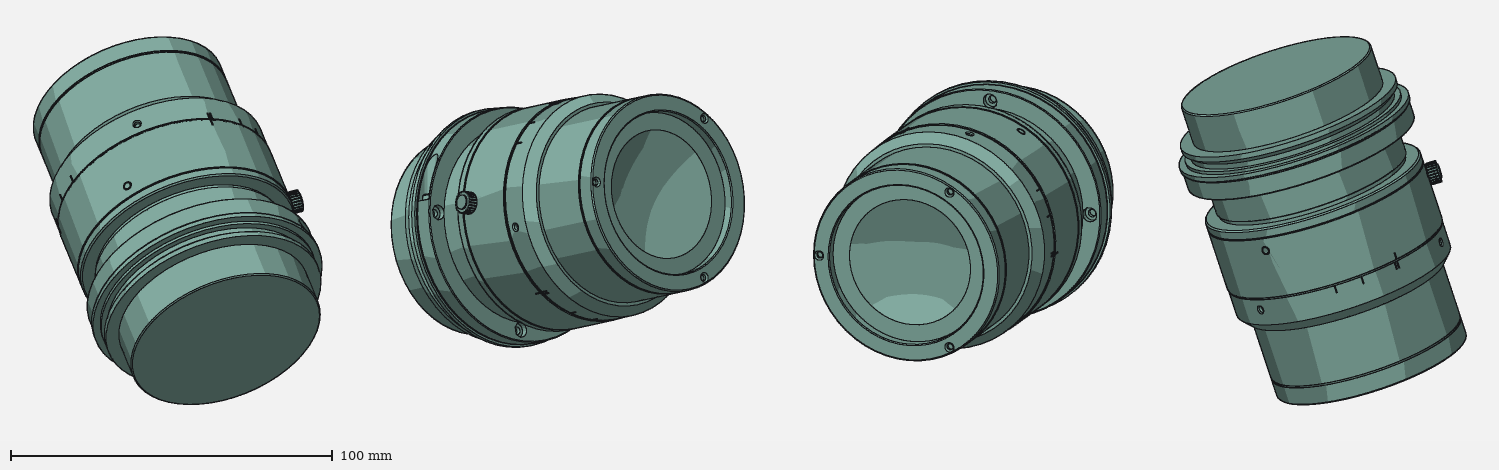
import cadquery as cq
import math

OVERALL_LENGTH = 98.25
OVERALL_WIDTH = 76.7
BARREL_RADIUS = 62.0 / 2
BARREL_CHAMFER = 0.4

FRONT_GROOVE_START = 5.9
FRONT_GROOVE_WIDTH = 0.6
GROOVE_DEPTH = 0.2

IRIS_START = 25.7
IRIS_NOSE_RADIUS = 32.0
IRIS_RADIUS = 70.0 / 2
IRIS_CONE_LENGTH = 3.2
IRIS_END = 37.4
RING_GAP_WIDTH = 0.6

GRIP_RADIUS = 35.2
GRIP_START = IRIS_END + RING_GAP_WIDTH
GRIP_END = 60.8
GRIP_CHAMFER = 0.5
GRIP_GROOVE_START = 57.5
GRIP_GROOVE_WIDTH = 0.4

NECK_RADIUS = 30.5
REAR_BARREL_START = 62.2

FLANGE_START = 72.0
FLANGE_END = 77.9
FLANGE_RADIUS = 36.9
FLANGE_CHAMFER = 0.3
DISC_RADIUS = 75.0 / 2
DISC_START = 78.5
DISC_END = 80.0
FLANGE_GROOVE_RADIUS = FLANGE_RADIUS - GROOVE_DEPTH
SHOULDER_RADIUS = 35.2
SHOULDER_END = 81.0
SEAT_RADIUS = 33.2
SEAT_CONE_START = 82.6
SEAT_CONE_END = 84.2
SEAT_END = 85.9

RECESS_RADIUS = 51.3 / 2
RECESS_MOUTH_RADIUS = 52.0 / 2
RECESS_DEPTH = 3.4
GLASS_RADIUS = 40.4 / 2
GLASS_SAG = 3.8

FACE_HOLE_CIRCLE_RADIUS = 29.0
SCREW_HOLE_DIAMETER = 2.0
FACE_HOLE_MOUTH_DIAMETER = 3.0
FACE_HOLE_DEPTH = 1.5

IRIS_HOLE_X = 34.1
IRIS_HOLE_MOUTH_DIAMETER = 2.8
IRIS_HOLE_ANGLE = 103.3
IRIS_HOLE_DEPTH = 1.5

TICK_START = 35.1
TICK_WIDTH = 0.3
TICK_DEPTH = 0.2
TICK_ANGLES = (149.6, 164.1, 183.7, 185.2)
INDEX_ANGLE = TICK_ANGLES[-1]
INDEX_LENGTH = 2.2

LOCK_X = 53.5
LOCK_HOLE_DIAMETER = 2.8
LOCK_SCREW_DIAMETER = 2.1
LOCK_HOLE_DEPTH = 1.5
KNOB_BOTTOM = 35.6
KNOB_TOP = 38.8
KNOB_DIAMETER = 7.0
KNOB_CHAMFER = 0.3
KNOB_CAP_DIAMETER = 4.5
KNOB_CAP_TOP = OVERALL_WIDTH - DISC_RADIUS
KNOB_GROOVE_BOTTOM = 37.5
KNOB_GROOVE_WIDTH = 0.3
KNOB_GROOVE_DEPTH = 0.15
FLUTE_COUNT = 24
FLUTE_DIAMETER = 0.6

FLANGE_BORE_DIAMETER = 4.5
FLANGE_BORE_CIRCLE_RADIUS = BARREL_RADIUS + FLANGE_BORE_DIAMETER / 2
FLANGE_BORE_DEPTH = 2.0
FLANGE_SOCKET_DIAMETER = 2.5
FLANGE_HOLE_DEPTH = 3.4
FLANGE_HOLE_COUNT = 4
CLAMP_X = 75.1
CLAMP_Y = 34.2
CLAMP_POCKET_DIAMETER = 5.0
CLAMP_POCKET_FLOOR = 3.9
CLAMP_HEAD_DIAMETER = 4.5
CLAMP_HEAD_CHAMFER = 0.5
CLAMP_HEAD_TOP = 5.9
CLAMP_SOCKET_DIAMETER = 2.5
CLAMP_SOCKET_DEPTH = 1.5

THIRDS = (0, 120, 240)


def around_axis(shape, angle):
    """Turn a shape made at +Y to the given polar angle."""
    return shape.rotate((0, 0, 0), (1, 0, 0), angle)


def countersunk_cutter(diameter, mouth_diameter, depth):
    """Cutter along +X from the origin, with a 45 degree mouth."""
    sink = (mouth_diameter - diameter) / 2
    points = [
        (0, 0),
        (0, mouth_diameter / 2),
        (sink, diameter / 2),
        (depth, diameter / 2),
        (depth, 0),
    ]
    return cq.Workplane("XY").polyline(points).close().revolve(360, (0, 0, 0), (1, 0, 0))


def y_cylinder(x, bottom, top, diameter):
    """Radial cylinder standing on +Y."""
    return cq.Workplane("XZ", origin=(x, bottom, 0)).circle(diameter / 2).extrude(bottom - top)


def make_body():
    """Turned body with the glass and front recess in one profile."""
    groove_floor = BARREL_RADIUS - GROOVE_DEPTH
    front_groove_end = FRONT_GROOVE_START + FRONT_GROOVE_WIDTH
    grip_groove_end = GRIP_GROOVE_START + GRIP_GROOVE_WIDTH
    recess_bevel = RECESS_MOUTH_RADIUS - RECESS_RADIUS
    glass_apex = RECESS_DEPTH + GLASS_SAG
    sphere_radius = (GLASS_RADIUS**2 + GLASS_SAG**2) / (2 * GLASS_SAG)
    mid_radius = GLASS_RADIUS / 2
    mid_x = glass_apex - sphere_radius + math.sqrt(sphere_radius**2 - mid_radius**2)
    profile = (
        cq.Workplane("XY")
        .moveTo(glass_apex, 0)
        .threePointArc((mid_x, mid_radius), (RECESS_DEPTH, GLASS_RADIUS))
        .lineTo(RECESS_DEPTH, RECESS_RADIUS)
        .lineTo(recess_bevel, RECESS_RADIUS)
        .lineTo(0, RECESS_MOUTH_RADIUS)
        .lineTo(0, BARREL_RADIUS - BARREL_CHAMFER)
        .lineTo(BARREL_CHAMFER, BARREL_RADIUS)
        .lineTo(FRONT_GROOVE_START, BARREL_RADIUS)
        .lineTo(FRONT_GROOVE_START, groove_floor)
        .lineTo(front_groove_end, groove_floor)
        .lineTo(front_groove_end, BARREL_RADIUS)
        .lineTo(IRIS_START, BARREL_RADIUS)
        .lineTo(IRIS_START, IRIS_NOSE_RADIUS)
        .lineTo(IRIS_START + IRIS_CONE_LENGTH, IRIS_RADIUS)
        .lineTo(IRIS_END, IRIS_RADIUS)
        .lineTo(IRIS_END, IRIS_RADIUS - GROOVE_DEPTH)
        .lineTo(GRIP_START, IRIS_RADIUS - GROOVE_DEPTH)
        .lineTo(GRIP_START, GRIP_RADIUS)
        .lineTo(GRIP_GROOVE_START, GRIP_RADIUS)
        .lineTo(GRIP_GROOVE_START, GRIP_RADIUS - GROOVE_DEPTH)
        .lineTo(grip_groove_end, GRIP_RADIUS - GROOVE_DEPTH)
        .lineTo(grip_groove_end, GRIP_RADIUS)
        .lineTo(GRIP_END - GRIP_CHAMFER, GRIP_RADIUS)
        .lineTo(GRIP_END, GRIP_RADIUS - GRIP_CHAMFER)
        .lineTo(GRIP_END, NECK_RADIUS)
        .lineTo(REAR_BARREL_START, NECK_RADIUS)
        .lineTo(REAR_BARREL_START, BARREL_RADIUS)
        .lineTo(FLANGE_START, BARREL_RADIUS)
        .lineTo(FLANGE_START, FLANGE_RADIUS - FLANGE_CHAMFER)
        .lineTo(FLANGE_START + FLANGE_CHAMFER, FLANGE_RADIUS)
        .lineTo(FLANGE_END, FLANGE_RADIUS)
        .lineTo(FLANGE_END, FLANGE_GROOVE_RADIUS)
        .lineTo(DISC_START, FLANGE_GROOVE_RADIUS)
        .lineTo(DISC_START, DISC_RADIUS)
        .lineTo(DISC_END, DISC_RADIUS)
        .lineTo(DISC_END, SHOULDER_RADIUS)
        .lineTo(SHOULDER_END, SHOULDER_RADIUS)
        .lineTo(SHOULDER_END, SEAT_RADIUS)
        .lineTo(SEAT_CONE_START, SEAT_RADIUS)
        .lineTo(SEAT_CONE_END, SHOULDER_RADIUS)
        .lineTo(SEAT_END, SHOULDER_RADIUS)
        .lineTo(SEAT_END, BARREL_RADIUS)
        .lineTo(OVERALL_LENGTH - BARREL_CHAMFER, BARREL_RADIUS)
        .lineTo(OVERALL_LENGTH, BARREL_RADIUS - BARREL_CHAMFER)
        .lineTo(OVERALL_LENGTH, 0)
        .close()
    )
    return profile.revolve(360, (0, 0, 0), (1, 0, 0))


def flange_hole_cutter(diameter, depth):
    """Ring of cylinders sunk into the front face of the flange."""
    return (
        cq.Workplane("YZ", origin=(FLANGE_START, 0, 0))
        .polarArray(FLANGE_BORE_CIRCLE_RADIUS, 0, 360, FLANGE_HOLE_COUNT)
        .circle(diameter / 2)
        .extrude(depth)
    )


def cut_face_holes(body):
    """Three countersunk holes in the front rim and four counterbored ones in the flange face."""
    cutter = countersunk_cutter(SCREW_HOLE_DIAMETER, FACE_HOLE_MOUTH_DIAMETER, FACE_HOLE_DEPTH)
    cutter = cutter.translate((0, FACE_HOLE_CIRCLE_RADIUS, 0))
    for angle in THIRDS:
        body = body.cut(around_axis(cutter, angle))
    bores = flange_hole_cutter(FLANGE_BORE_DIAMETER, FLANGE_BORE_DEPTH)
    sockets = flange_hole_cutter(FLANGE_SOCKET_DIAMETER, FLANGE_HOLE_DEPTH)
    return body.cut(bores).cut(sockets)


def cut_iris_holes(body):
    """Three radial countersunk set screw holes in the aperture ring."""
    cutter = countersunk_cutter(SCREW_HOLE_DIAMETER, IRIS_HOLE_MOUTH_DIAMETER, IRIS_HOLE_DEPTH)
    cutter = cutter.rotate((0, 0, 0), (0, 0, 1), -90).translate((IRIS_HOLE_X, IRIS_RADIUS, 0))
    for angle in THIRDS:
        body = body.cut(around_axis(cutter, IRIS_HOLE_ANGLE + angle))
    return body


def mark_cutter(start, length, radius):
    """Engraving cutter along X, at +Y on the given radius."""
    mark = cq.Workplane("XY").box(length, 2 * TICK_DEPTH, TICK_WIDTH)
    return mark.translate((start + length / 2, radius, 0))


def cut_marks(body):
    """Three sets of aperture ticks, each with its index line on the locking ring."""
    tick = mark_cutter(TICK_START, IRIS_END - TICK_START, IRIS_RADIUS)
    index = mark_cutter(GRIP_START, INDEX_LENGTH, GRIP_RADIUS)
    for turn in THIRDS:
        for angle in TICK_ANGLES:
            body = body.cut(around_axis(tick, angle + turn))
        body = body.cut(around_axis(index, INDEX_ANGLE + turn))
    return body


def make_knob():
    """Fluted thumb screw on +Y, with a raised cap and a shallow groove."""
    knob = y_cylinder(LOCK_X, KNOB_BOTTOM, KNOB_TOP, KNOB_DIAMETER).faces("<Y").chamfer(KNOB_CHAMFER)
    groove_top = KNOB_GROOVE_BOTTOM + KNOB_GROOVE_WIDTH
    groove = y_cylinder(LOCK_X, KNOB_GROOVE_BOTTOM, groove_top, KNOB_DIAMETER)
    groove_core = y_cylinder(LOCK_X, KNOB_GROOVE_BOTTOM, groove_top, KNOB_DIAMETER - 2 * KNOB_GROOVE_DEPTH)
    flutes = (
        cq.Workplane("XZ", origin=(LOCK_X, KNOB_BOTTOM, 0))
        .polarArray(KNOB_DIAMETER / 2, 0, 360, FLUTE_COUNT)
        .circle(FLUTE_DIAMETER / 2)
        .extrude(KNOB_BOTTOM - KNOB_TOP)
    )
    cap = y_cylinder(LOCK_X, KNOB_TOP, KNOB_CAP_TOP, KNOB_CAP_DIAMETER)
    stem = y_cylinder(LOCK_X, GRIP_RADIUS - LOCK_HOLE_DEPTH, KNOB_BOTTOM, LOCK_SCREW_DIAMETER)
    return knob.cut(groove.cut(groove_core)).cut(flutes).union(cap).union(stem)


def add_lock_screws(body):
    """Thumb screw at +Y, and ring-shaped gaps that leave a flush set screw 120 degrees either side."""
    hole_floor = GRIP_RADIUS - LOCK_HOLE_DEPTH
    hole = y_cylinder(LOCK_X, hole_floor, KNOB_BOTTOM, LOCK_HOLE_DIAMETER)
    set_screw = y_cylinder(LOCK_X, hole_floor, KNOB_BOTTOM, LOCK_SCREW_DIAMETER)
    gap = hole.cut(set_screw)
    for angle in THIRDS[1:]:
        body = body.cut(around_axis(gap, angle))
    return body.union(make_knob())


def add_clamp_screw(body):
    """Clamp screw sunk in a pocket cut down along Z through the flange edge."""
    pocket = (
        cq.Workplane("XY", origin=(CLAMP_X, CLAMP_Y, CLAMP_POCKET_FLOOR))
        .circle(CLAMP_POCKET_DIAMETER / 2)
        .extrude(FLANGE_RADIUS - CLAMP_POCKET_FLOOR)
    )
    opening = cq.Workplane("XY").box(
        CLAMP_POCKET_DIAMETER,
        CLAMP_POCKET_DIAMETER,
        FLANGE_RADIUS - CLAMP_POCKET_FLOOR,
        centered=(True, False, False),
    )
    opening = opening.translate((CLAMP_X, CLAMP_Y, CLAMP_POCKET_FLOOR))
    head = (
        cq.Workplane("XY", origin=(CLAMP_X, CLAMP_Y, CLAMP_POCKET_FLOOR))
        .circle(CLAMP_HEAD_DIAMETER / 2)
        .extrude(CLAMP_HEAD_TOP - CLAMP_POCKET_FLOOR)
        .faces(">Z")
        .chamfer(CLAMP_HEAD_CHAMFER)
    )
    socket = (
        cq.Workplane("XY", origin=(CLAMP_X, CLAMP_Y, CLAMP_HEAD_TOP))
        .circle(CLAMP_SOCKET_DIAMETER / 2)
        .extrude(-CLAMP_SOCKET_DEPTH)
    )
    return body.cut(pocket).cut(opening).union(head.cut(socket))


body = make_body()
body = cut_face_holes(body)
body = cut_iris_holes(body)
body = cut_marks(body)
body = add_lock_screws(body)
result = add_clamp_screw(body)